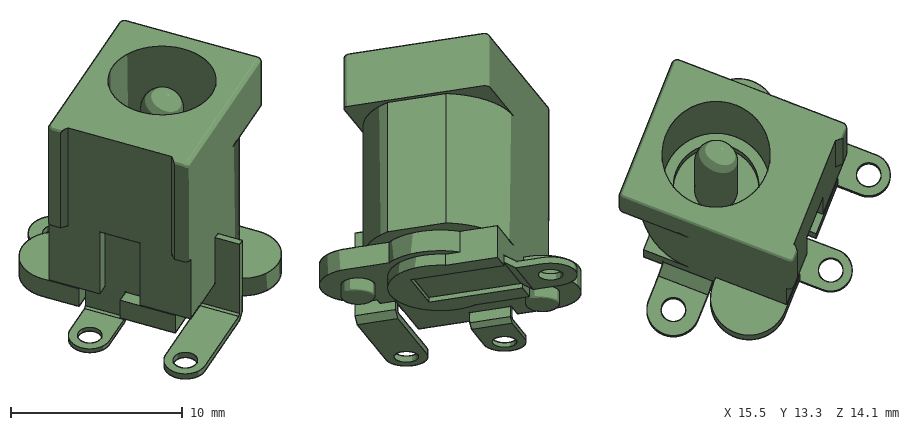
import cadquery as cq


body_width = 9.0
half_width = body_width / 2
back_y = 4.4
rib_face_y = -6.5
edge_round = 0.34
front_y = rib_face_y + edge_round
top_z = 14.1
body_bottom_z = 2.28
rib_width = 1.22
rib_bottom_z = 6.73
collar_bottom_z = 10.6
barrel_flat_y = 4.12

bore_radius = 3.15
bore_step_depth = 9.0
inner_bore_radius = 2.5
bore_floor_depth = 10.0

flange_bottom_z = 0.95
flange_front_y = -6.22
flange_back_y = 2.77
flange_disc_radius = 3.53
lobe_radius = 2.25
lobe_x = 4.89
lobe_centers = [(-lobe_x, flange_front_y + lobe_radius), (lobe_x, flange_back_y - lobe_radius)]
foot_bottom_z = 0.23
foot_front_y = -2.83
foot_disc_radius = 3.07
peg_radius = 0.99
peg_bottom_z = 0.12
peg_round = 0.17

pin_radius = 1.25
pin_tip_z = 13.25

hole_radius = 0.71
tab_width = 2.51
tab_end_y = -8.9
inner_bend = 0.12
slot_clearance = 0.05

front_sheet = 0.3
front_tab_x = -1.25
front_plate_back_y = -5.12
front_blade_width = 2.54
front_blade_top_z = 6.94

side_sheet = 0.4
side_tab_left_x = 3.55
side_tab_x = side_tab_left_x + tab_width / 2
side_plate_back_y = -2.21
side_blade_top_z = 5.73

pin_tab_width = 3.1
pin_tab_end_x = -8.35
pin_tab_sheet = 0.4
pin_tab_bend_x = -5.26
pin_tab_bend_shift = 0.08
pin_tab_inner_z = 0.91


def block(x_range, y_range, z_range):
    """Box given by its limits along each axis."""
    (x0, x1), (y0, y1), (z0, z1) = x_range, y_range, z_range
    return cq.Workplane("XY").box(x1 - x0, y1 - y0, z1 - z0, centered=False).translate((x0, y0, z0))


def cylinder(center, radius, z_range):
    """Upright cylinder between two heights."""
    z0, z1 = z_range
    return cq.Workplane("XY", origin=(*center, z0)).circle(radius).extrude(z1 - z0)


def make_shell():
    """Rounded box with two front corner ribs and a barrel-shaped back below the collar."""
    shell = block((-half_width, half_width), (rib_face_y, back_y), (body_bottom_z, top_z))
    shell = shell.edges("|Z or >Z").fillet(edge_round)

    gap_half = half_width - rib_width
    flare_half = gap_half + edge_round
    gap_outline = [
        (-gap_half, front_y),
        (gap_half, front_y),
        (flare_half, rib_face_y),
        (-flare_half, rib_face_y),
    ]
    gap_base = cq.Workplane("XY", origin=(0, 0, body_bottom_z))
    front_gap = gap_base.polyline(gap_outline).close().extrude(top_z - body_bottom_z)
    below_ribs = block((-half_width, half_width), (rib_face_y, front_y), (body_bottom_z, rib_bottom_z))

    barrel_z = (body_bottom_z, collar_bottom_z)
    back_zone = block((-half_width, half_width), (0, back_y), barrel_z)
    barrel = cylinder((0, 0), half_width, barrel_z)
    barrel = barrel.intersect(block((-half_width, half_width), (0, barrel_flat_y), barrel_z))
    return shell.cut(front_gap).cut(below_ribs).cut(back_zone).union(barrel)


def make_base():
    """Flange with two mounting lobes and pegs, and the foot around the pin terminal."""
    flange_z = (flange_bottom_z, body_bottom_z)
    base = block((-half_width, half_width), (flange_front_y, flange_back_y), flange_z)
    base = base.union(cylinder((0, 0), flange_disc_radius, flange_z))
    for x, y in lobe_centers:
        lobe = cylinder((x, y), lobe_radius, flange_z)
        arm = block(sorted((0, x)), (y - lobe_radius, y + lobe_radius), flange_z)
        peg = cylinder((x, y), peg_radius, (peg_bottom_z, flange_bottom_z))
        peg = peg.faces("<Z").edges().fillet(peg_round)
        base = base.union(lobe).union(arm).union(peg)

    foot_z = (foot_bottom_z, body_bottom_z)
    foot = block((-half_width, 0), (foot_front_y, flange_back_y), foot_z)
    foot = foot.union(cylinder((0, 0), foot_disc_radius, foot_z))
    return base.union(foot)


def make_housing():
    housing = make_shell().union(make_base())

    housing = housing.cut(cylinder((0, 0), bore_radius, (top_z - bore_step_depth, top_z)))
    housing = housing.cut(cylinder((0, 0), inner_bore_radius, (top_z - bore_floor_depth, top_z)))
    housing = housing.cut(cylinder((0, 0), pin_radius, (pin_tab_inner_z, top_z)))

    blade_half = front_blade_width / 2
    slot_half = tab_width / 2 + slot_clearance
    front_depth = (flange_front_y, front_plate_back_y)
    housing = housing.cut(block((-blade_half, blade_half), front_depth, (body_bottom_z, front_blade_top_z)))
    slot_x = (front_tab_x - slot_half, front_tab_x + slot_half)
    housing = housing.cut(block(slot_x, front_depth, (flange_bottom_z, body_bottom_z)))

    notch_y = (flange_front_y, side_plate_back_y)
    housing = housing.cut(block((side_tab_left_x, half_width), notch_y, (flange_bottom_z, body_bottom_z)))

    channel_half = pin_tab_width / 2 + slot_clearance
    channel_y = (-channel_half, channel_half)
    channel_x = (-half_width, pin_radius)
    return housing.cut(block(channel_x, channel_y, (foot_bottom_z, pin_tab_inner_z)))


def make_pin():
    """Round contact pin with a hemispherical tip, standing on the pin terminal."""
    tip_center_z = pin_tip_z - pin_radius
    shaft = cylinder((0, 0), pin_radius, (pin_tab_inner_z, tip_center_z))
    tip = cq.Workplane("XY", origin=(0, 0, tip_center_z)).sphere(pin_radius)
    return shaft.union(tip)


def make_angle_terminal(tab_x, plate_back_y, sheet, blade_x_range, blade_top_z):
    """L-shaped sheet terminal: forward solder tab, upright plate and a blade above the plate."""
    plate_front_y = plate_back_y - sheet
    tab_center_y = tab_end_y + tab_width / 2
    profile = [
        (tab_center_y, 0),
        (plate_front_y, 0),
        (plate_back_y, sheet),
        (plate_back_y, body_bottom_z),
        (plate_front_y, body_bottom_z),
        (plate_front_y, sheet + inner_bend),
        (plate_front_y - inner_bend, sheet),
        (tab_center_y, sheet),
    ]
    side_plane = cq.Workplane("YZ", origin=(tab_x - tab_width / 2, 0, 0))
    angle = side_plane.polyline(profile).close().extrude(tab_width)
    tab_end = cylinder((tab_x, tab_center_y), tab_width / 2, (0, sheet))
    blade = block(blade_x_range, (plate_front_y, plate_back_y), (body_bottom_z, blade_top_z))
    hole = cylinder((tab_x, tab_center_y), hole_radius, (0, sheet))
    return angle.union(tab_end).union(blade).cut(hole)


def make_front_terminal():
    blade_x_range = (-front_blade_width / 2, front_blade_width / 2)
    return make_angle_terminal(front_tab_x, front_plate_back_y, front_sheet, blade_x_range, front_blade_top_z)


def make_side_terminal():
    blade_x_range = (half_width, side_tab_left_x + tab_width)
    return make_angle_terminal(side_tab_x, side_plate_back_y, side_sheet, blade_x_range, side_blade_top_z)


def make_pin_terminal():
    """Solder tab that slopes up to the side of the foot and runs level beneath the pin."""
    tab_radius = pin_tab_width / 2
    tab_center_x = pin_tab_end_x + tab_radius
    inner_bottom_z = pin_tab_inner_z - pin_tab_sheet
    profile = [
        (tab_center_x, 0),
        (pin_tab_bend_x + pin_tab_bend_shift, 0),
        (-half_width + pin_tab_bend_shift, inner_bottom_z),
        (pin_radius, inner_bottom_z),
        (pin_radius, pin_tab_inner_z),
        (-half_width, pin_tab_inner_z),
        (pin_tab_bend_x, pin_tab_sheet),
        (tab_center_x, pin_tab_sheet),
    ]
    strip = cq.Workplane("XZ", origin=(0, tab_radius, 0)).polyline(profile).close().extrude(pin_tab_width)
    tab_end = cylinder((tab_center_x, 0), tab_radius, (0, pin_tab_sheet))
    hole = cylinder((tab_center_x, 0), hole_radius, (0, pin_tab_sheet))
    return strip.union(tab_end).cut(hole)


housing = make_housing()
pin = make_pin()
front_terminal = make_front_terminal()
side_terminal = make_side_terminal()
pin_terminal = make_pin_terminal()

result = cq.Compound.makeCompound(
    [housing.val(), pin.val(), front_terminal.val(), side_terminal.val(), pin_terminal.val()]
)